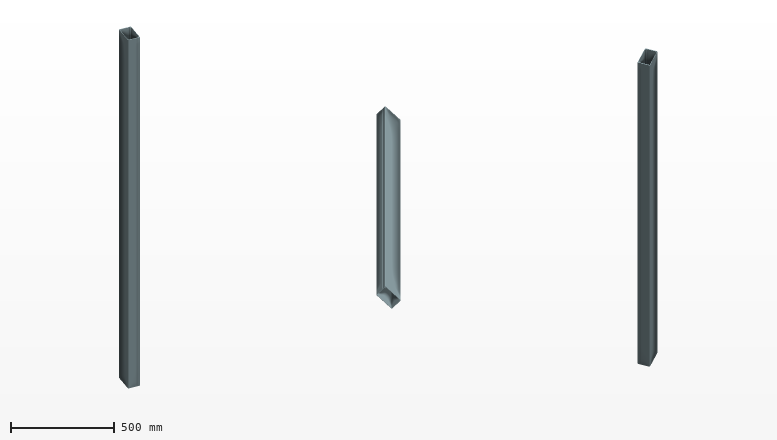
import cadquery as cq

width = 108.0
depth = 65.0
length = 2000.0

wall = 2.0
corner_radius = 5.0
lid_skirt = 18.0
bevel_height = 5.0
bevel_depth = 1.2
lip_height = 5.0
lip_reach = 5.0

back = depth / 2
front = -depth / 2
skirt_end = back - lid_skirt
bevel_start = skirt_end + bevel_height
tongue_width = width - 2 * wall
cavity_width = tongue_width - 2 * wall


def block(x_size, y_start, y_end):
    """Full-length bar centred on X, from y_start to y_end."""
    return (
        cq.Workplane("XY")
        .box(x_size, y_end - y_start, length)
        .translate((0, (y_start + y_end) / 2, 0))
    )


def make_base():
    """Channel open toward +Y, with tongues inside the lid and inturned lips."""
    lower = block(width, front, skirt_end).faces("<Y").edges("|Z").fillet(corner_radius)
    tongue = block(tongue_width, skirt_end, back - wall)
    cavity = block(cavity_width, front + wall, back - wall - lip_height)
    mouth = block(cavity_width - 2 * lip_reach, back - wall - lip_height, back)
    return lower.union(tongue).cut(cavity).cut(mouth)


def make_lid():
    """Cover on the +Y side, whose skirts taper inward at their tips."""
    tip_half_width = width / 2 - bevel_depth
    cover = (
        cq.Workplane("XY", origin=(0, 0, -length / 2))
        .polyline([
            (-tip_half_width, skirt_end),
            (tip_half_width, skirt_end),
            (width / 2, bevel_start),
            (width / 2, back),
            (-width / 2, back),
            (-width / 2, bevel_start),
        ])
        .close()
        .extrude(length)
        .faces(">Y").edges("|Z").fillet(corner_radius)
    )
    recess = block(tongue_width, skirt_end, back - wall)
    return cover.cut(recess)


base = make_base()
lid = make_lid()

result = cq.Compound.makeCompound([base.val(), lid.val()])